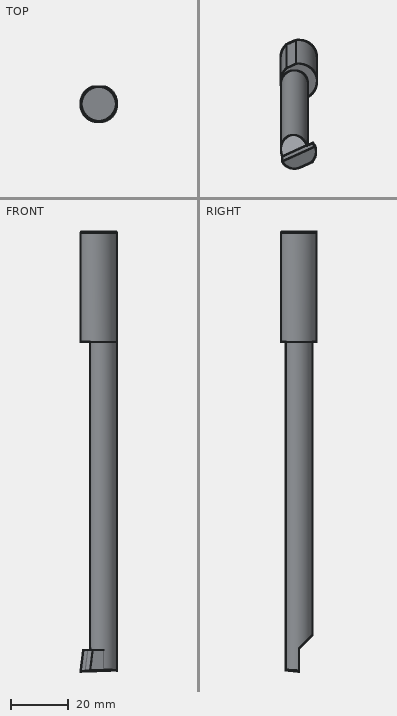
import cadquery as cq

OVERALL_LENGTH = 152.39

SHANK_DIAMETER = 12.7
SHANK_LENGTH = 38.1
FLAT_DEPTH = 0.25
END_CHAMFER = 0.4

NECK_DIAMETER = 9.4
RAKE_RUNOUT_HEIGHT = 8.1

END_RELIEF_ANGLE = 5
END_SIDE_ANGLE = 2
HEAD_HEIGHT = 7.6

HEAD_TOP_X = -5.4
RELIEF_BREAK = (-3.8, -3.45)
HEEL_X = -2.1

shank_radius = SHANK_DIAMETER / 2
neck_radius = NECK_DIAMETER / 2
neck_center_x = shank_radius - neck_radius
shank_bottom = OVERALL_LENGTH - SHANK_LENGTH
relief_radius = shank_radius
tip_x = -shank_radius
head_lean = HEAD_TOP_X - tip_x


def make_shank():
    """Round shank with a chamfered upper end and a flat on the +Y side."""
    shank = cq.Workplane("XY", origin=(0, 0, shank_bottom)).circle(shank_radius).extrude(SHANK_LENGTH)
    shank = shank.faces(">Z").chamfer(END_CHAMFER)
    flat_y = shank_radius - FLAT_DEPTH
    flat_cut = (
        cq.Workplane("XY")
        .box(SHANK_DIAMETER, SHANK_DIAMETER, SHANK_LENGTH, centered=(True, False, False))
        .translate((0, flat_y, shank_bottom))
    )
    return shank.cut(flat_cut)


def make_neck():
    """Offset round neck reaching down to the cutting corner."""
    neck = cq.Workplane("XY").center(neck_center_x, 0).circle(neck_radius)
    return neck.extrude(shank_bottom)


def draw_head_section(workplane, shift):
    """Head section: arched clearance, bevel, then a flat running tangent into the neck.

    The clearance and the bevel are moved by shift along X.
    """
    edge_x = HEAD_TOP_X + shift
    break_x, break_y = RELIEF_BREAK
    return (
        workplane.moveTo(edge_x, 0)
        .radiusArc((break_x + shift, break_y), -relief_radius)
        .lineTo(HEEL_X + shift, -neck_radius)
        .lineTo(neck_center_x, -neck_radius)
        .lineTo(neck_center_x, 0)
        .close()
    )


def make_head():
    """Cutting head whose relief side leans outwards towards the cutting corner."""
    lower = draw_head_section(cq.Workplane("XY"), -head_lean)
    return draw_head_section(lower.workplane(offset=HEAD_HEIGHT), 0).loft(ruled=True)


def make_rake_cut():
    """Space behind the rake face, ending upwards in a 45 degree ramp."""
    reach = SHANK_DIAMETER
    profile = [(0, 0), (0, RAKE_RUNOUT_HEIGHT), (reach, RAKE_RUNOUT_HEIGHT + reach), (reach, 0)]
    return cq.Workplane("YZ").polyline(profile).close().extrude(reach, both=True)


def make_end_relief():
    """Wedge below the end face, which rises from the cutting corner in X and in Y."""
    reach = SHANK_DIAMETER
    return (
        cq.Workplane("XY")
        .box(2 * reach, 2 * reach, reach, centered=(True, True, False))
        .translate((0, 0, -reach))
        .rotate((0, 0, 0), (1, 0, 0), -END_RELIEF_ANGLE)
        .rotate((0, 0, 0), (0, 1, 0), -END_SIDE_ANGLE)
        .translate((tip_x, 0, 0))
    )


lower_end = make_neck().union(make_head()).cut(make_rake_cut()).cut(make_end_relief())
result = make_shank().union(lower_end)